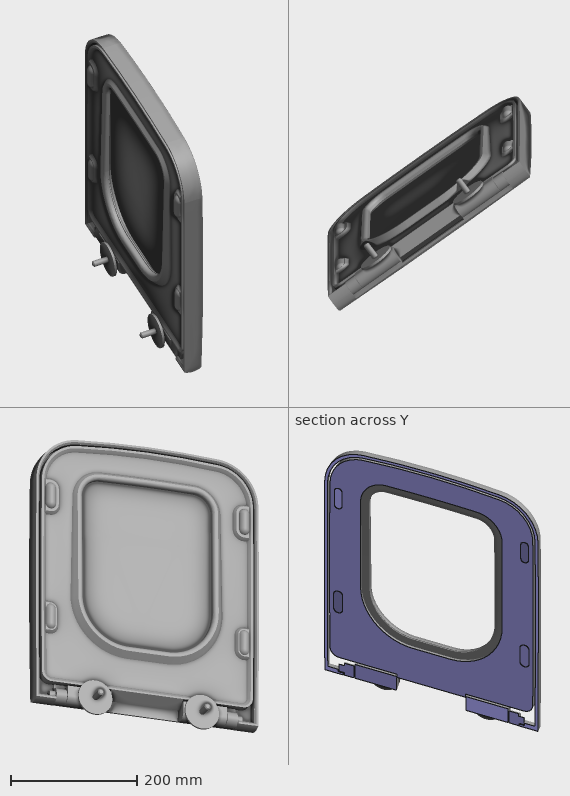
import cadquery as cq


OVERCUT = 4.5
BLANK_T = 4.5

TOP = 468.0
COVER_BOTTOM = 15.5
COVER_HALF_TOP = 187.2
COVER_HALF_MID = 188.5
COVER_HALF_BOTTOM = 187.5
BULGE_Z = 145.0
TOP_BOW = 11.2
CORNER_R = 74.0
COVER_BACK = 35.5
CROWN_R = 8894.5
COVER_CENTRE_Z = 242.0
BACK_ROUND = 3.5
WALL = 6.0
RIM_LAND = 3.5
RIM_TAPER = 45.0
FLOOR_T = 11.5
TAIL_WALL = 6.0
TAIL_BOTTOM = 19.0
TAIL_FRONT = 25.5
TAIL_COVE = 3.7
TAIL_LOW_Y = 16.0
TAIL_RIM_Z = 19.5
TAIL_BACK_Z = 24.5

SEAT_INSET = 9.5
SEAT_BOTTOM = 48.0
SEAT_BACK = 15.0
LIP_BACK = 6.0
LIP_INSET = 4.5
SEAT_CORNER_R = 16.5
TRAY_INSET = 13.0
TRAY_BOTTOM = 51.0
TRAY_DEPTH = 4.5
TRAY_TAPER = 50.0
TRAY_CORNER_R = 14.0
SKIRT_BACK = 19.5
SKIRT_DROP = 12.5
SKIRT_T = 9.5

BEAD_HALF = 128.5
BEAD_TOP = 421.5
BEAD_BOTTOM = 105.0
BEAD_BOW = 3.0
BEAD_TOP_R = 50.5
BEAD_BOTTOM_R = 96.0
BEAD_TAPER = 45.0
BEAD_RISE = 3.7
BEAD_TILT = 1.1
OPENING_INSET = 18.5
OPENING_ROUND = 5.0

BUMPER_R = 9.5
BUMPER_STRAIGHT = 26.0
BUMPER_X = 164.0
BUMPER_ROWS = [(363.3, -6.5, 18.0), (158.0, -5.0, 14.5)]
PAD_OUTER = 176.0
PAD_TAPER = 40.0
PAD_FRONT = -0.5

HINGE_X = 90.5
AXIS_Y = 12.5
AXIS_Z = 28.5
KNUCKLE_R = 12.5
KNUCKLE_TOP = 44.5
KNUCKLE_INNER = 61.0
KNUCKLE_OUTER = 135.0
EAR_INNER = 135.8
EAR_OUTER = 153.5
EAR_NECK = 7.5
STUB_D = 16.0
STUB_END = 163.0
CLEARANCE = 0.5
DISC_D = 57.0
DISC_BACK = -2.5
DISC_T = 3.7
PIN_D = 10.0
PIN_TIP = -32.0
PIN_CHAMFER = 2.0
COLLAR_D = 13.0


def plane_at(y):
    """Workplane at depth y with local axes X and Z; a positive extrusion runs toward -Y."""
    return cq.Workplane("XZ", origin=(0, y, 0))


def prism(sketch_points, x_from, x_to):
    """Solid with a (Y, Z) polygon as its section, running along X."""
    return cq.Workplane("YZ", origin=(x_from, 0, 0)).polyline(sketch_points).close().extrude(x_to - x_from)


def rod(radius, x_from, x_to):
    """Cylinder on the hinge axis."""
    section = cq.Workplane("YZ", origin=(x_from, 0, 0)).center(AXIS_Y, AXIS_Z).circle(radius)
    return section.extrude(x_to - x_from)


def box(x_range, y_range, z_range):
    """Box between a low and a high limit along each axis."""
    sizes = [high - low for low, high in (x_range, y_range, z_range)]
    return cq.Workplane().box(*sizes, centered=False).translate((x_range[0], y_range[0], z_range[0]))


def mirrored(body):
    return body.mirror("YZ")


def cover_wire(y, inset, bottom, bottom_radius=None):
    """Cover outline moved inward by inset, with its own bottom edge."""
    top = TOP - inset
    side_top = (COVER_HALF_TOP - inset, top - TOP_BOW)
    side_mid = (COVER_HALF_MID - inset, BULGE_Z)
    side_bottom = (COVER_HALF_BOTTOM - inset, bottom)
    blank = (
        plane_at(y)
        .moveTo(-side_bottom[0], bottom)
        .lineTo(*side_bottom)
        .threePointArc(side_mid, side_top)
        .threePointArc((0, top), (-side_top[0], side_top[1]))
        .threePointArc((-side_mid[0], BULGE_Z), (-side_bottom[0], bottom))
        .close()
        .extrude(BLANK_T)
        .edges("|Y").edges(">Z").fillet(CORNER_R - inset)
    )
    if bottom_radius:
        blank = blank.edges("|Y").edges("<Z").fillet(bottom_radius)
    return blank.faces(">Y").wires().vals()[0]


def extruded(wire, y, depth, taper=0):
    """Solid from a wire at depth y: a positive depth runs toward -Y."""
    return plane_at(y).add(wire).toPending().extrude(depth, taper=taper)


def crown(back):
    """Sphere whose rearmost point lies at Y = back."""
    return cq.Workplane().sphere(CROWN_R).translate((0, back - CROWN_R, COVER_CENTRE_Z))


def make_cover():
    """Crowned shell, open at the front, with a rounded tail cut away around the hinges."""
    blank = extruded(cover_wire(COVER_BACK, 0, COVER_BOTTOM), COVER_BACK, COVER_BACK)
    cover = blank.intersect(crown(COVER_BACK)).faces(">Y").edges().fillet(BACK_ROUND)
    cavity = extruded(cover_wire(COVER_BACK, WALL, TAIL_BOTTOM + TAIL_WALL), COVER_BACK, COVER_BACK + OVERCUT)
    cover = cover.cut(cavity.intersect(crown(COVER_BACK - FLOOR_T)))
    rim_bevel = extruded(cover_wire(0, RIM_LAND, TAIL_BOTTOM + RIM_LAND), 0, RIM_LAND - WALL, RIM_TAPER)
    cover = cover.cut(rim_bevel)
    below_tail = (
        cq.Workplane("YZ", origin=(-COVER_HALF_MID, 0, 0))
        .moveTo(0, TAIL_RIM_Z)
        .threePointArc((TAIL_LOW_Y, COVER_BOTTOM), (COVER_BACK, TAIL_BACK_Z))
        .lineTo(COVER_BACK, 0)
        .lineTo(0, 0)
        .close()
        .extrude(2 * COVER_HALF_MID)
    )
    notch = box((-EAR_OUTER, EAR_OUTER), (-OVERCUT, COVER_BACK), (0, TAIL_BOTTOM))
    cove = prism(
        [
            (-OVERCUT, 0),
            (TAIL_FRONT, 0),
            (TAIL_FRONT, TAIL_BOTTOM),
            (TAIL_FRONT + TAIL_COVE, SEAT_BOTTOM),
            (-OVERCUT, SEAT_BOTTOM),
        ],
        -KNUCKLE_INNER,
        KNUCKLE_INNER,
    )
    cover = cover.cut(below_tail).cut(notch).cut(cove)
    slot = make_hinge_slot()
    return cover.cut(slot).cut(mirrored(slot))


def make_hinge_slot():
    """Clearance in the cover for one hinge block, the seat ear beside it and the stub of the ear."""
    x_range = (KNUCKLE_INNER - CLEARANCE, EAR_OUTER + CLEARANCE)
    radius = KNUCKLE_R + CLEARANCE
    slot = rod(radius, *x_range)
    slot = slot.union(box(x_range, (-OVERCUT, AXIS_Y), (AXIS_Z - radius, KNUCKLE_TOP)))
    slot = slot.union(box(x_range, (AXIS_Y, AXIS_Y + radius), (AXIS_Z, KNUCKLE_TOP)))
    return slot.union(rod(STUB_D / 2 + CLEARANCE, EAR_OUTER, STUB_END + CLEARANCE))


def bead_outline(y):
    """Outer outline of the bead as a wire at depth y."""
    bow_ends = BEAD_TOP - BEAD_BOW
    blank = (
        plane_at(y)
        .moveTo(-BEAD_HALF, BEAD_BOTTOM)
        .lineTo(BEAD_HALF, BEAD_BOTTOM)
        .lineTo(BEAD_HALF, bow_ends)
        .threePointArc((0, BEAD_TOP), (-BEAD_HALF, bow_ends))
        .close()
        .extrude(BLANK_T)
        .edges("|Y").edges(">Z").fillet(BEAD_TOP_R)
        .edges("|Y").edges("<Z").fillet(BEAD_BOTTOM_R)
    )
    return blank.faces(">Y").wires().vals()[0]


def bumper_places():
    """Side, height, frontmost Y and pad radius of each bumper."""
    return [(side, *row) for row in BUMPER_ROWS for side in (-1, 1)]


def make_bumper(side, z, front):
    """Upright capsule, half buried in the seat."""
    half = BUMPER_STRAIGHT / 2
    capsule = cq.Workplane("XY").circle(BUMPER_R).extrude(BUMPER_STRAIGHT).translate((0, 0, -half))
    for end in (-half, half):
        capsule = capsule.union(cq.Workplane().sphere(BUMPER_R).translate((0, 0, end)))
    return capsule.translate((side * BUMPER_X, front + BUMPER_R, z))


def make_pad(side, z, radius):
    """Tapered seat boss around a bumper, square toward the rim and round toward the middle."""
    half = BUMPER_STRAIGHT / 2
    end = half + radius
    pad = (
        plane_at(TRAY_DEPTH)
        .moveTo(-PAD_OUTER, z - end)
        .lineTo(-BUMPER_X, z - end)
        .radiusArc((-BUMPER_X + radius, z - half), -radius)
        .lineTo(-BUMPER_X + radius, z + half)
        .radiusArc((-BUMPER_X, z + end), -radius)
        .lineTo(-PAD_OUTER, z + end)
        .close()
        .extrude(TRAY_DEPTH - PAD_FRONT, taper=PAD_TAPER)
    )
    return pad if side < 0 else mirrored(pad)


def make_ear():
    """Seat hinge ear: a barrel with a stub on its outer end and a neck up to the seat."""
    neck = box((EAR_INNER, EAR_OUTER), (AXIS_Y, SEAT_BACK), (AXIS_Z, SEAT_BOTTOM + EAR_NECK))
    return rod(KNUCKLE_R, EAR_INNER, EAR_OUTER).union(neck).union(rod(STUB_D / 2, EAR_OUTER, STUB_END))


def make_bead(opening):
    """Tilted bead with sloping outer sides and a rounded edge around the opening."""
    bead = extruded(bead_outline(LIP_BACK), LIP_BACK, LIP_BACK + BEAD_RISE, BEAD_TAPER)
    middle = (BEAD_TOP + BEAD_BOTTOM) / 2
    bead = bead.rotate((0, 0, middle), (1, 0, middle), -BEAD_TILT).cut(opening)
    inner_edge = bead.faces("<Y").val().innerWires()[0]
    return bead.newObject(inner_edge.Edges()).fillet(OPENING_ROUND)


def make_seat():
    """Thin seat plate with a shallow tray, the bead, the bumper pads and the hinge ears."""
    outline = cover_wire(SEAT_BACK, SEAT_INSET, SEAT_BOTTOM, SEAT_CORNER_R)
    seat = extruded(outline, SEAT_BACK, SEAT_BACK)
    skirt = prism(
        [
            (0, SEAT_BOTTOM),
            (SKIRT_BACK, SEAT_BOTTOM - SKIRT_DROP),
            (SKIRT_BACK, SEAT_BOTTOM + SKIRT_T),
            (TRAY_DEPTH + SKIRT_T, SEAT_BOTTOM + SKIRT_T),
        ],
        -KNUCKLE_INNER,
        KNUCKLE_INNER,
    )
    tray = extruded(cover_wire(0, TRAY_INSET, TRAY_BOTTOM, TRAY_CORNER_R), 0, -TRAY_DEPTH, TRAY_TAPER)
    seat = seat.union(skirt).cut(tray)

    opening_wire = bead_outline(SEAT_BACK).offset2D(-OPENING_INSET)[0]
    relief_wire = bead_outline(SEAT_BACK).offset2D(-LIP_INSET)[0]
    opening = extruded(opening_wire, SEAT_BACK, 2 * SEAT_BACK)
    relief = extruded(relief_wire, SEAT_BACK, SEAT_BACK - LIP_BACK)
    seat = seat.cut(opening).cut(relief).union(make_bead(opening))

    for side, z, front, pad_radius in bumper_places():
        seat = seat.union(make_pad(side, z, pad_radius)).cut(make_bumper(side, z, front))
    ear = make_ear()
    return seat.union(ear).union(mirrored(ear))


def make_hinge(side):
    """Hinge block with a round underside and a chamfered pin that points toward -Y."""
    block = rod(KNUCKLE_R, KNUCKLE_INNER, KNUCKLE_OUTER)
    block = block.union(
        box(
            (KNUCKLE_INNER, KNUCKLE_OUTER),
            (0, AXIS_Y + KNUCKLE_R),
            (AXIS_Z, KNUCKLE_TOP),
        )
    )
    collar = plane_at(AXIS_Y).center(HINGE_X, AXIS_Z).circle(COLLAR_D / 2).extrude(AXIS_Y - DISC_BACK)
    pin = plane_at(AXIS_Y).center(HINGE_X, AXIS_Z).circle(PIN_D / 2).extrude(AXIS_Y - PIN_TIP)
    pin = pin.faces("<Y").chamfer(PIN_CHAMFER)
    hinge = block.union(collar).union(pin)
    return hinge if side > 0 else mirrored(hinge)


def make_disc(side):
    """Cover disc with a hole for the hinge pin."""
    face = plane_at(DISC_BACK).center(side * HINGE_X, AXIS_Z)
    return face.circle(DISC_D / 2).circle(PIN_D / 2).extrude(DISC_T)


cover = make_cover()
seat = make_seat()
bumpers = [make_bumper(side, z, front).val() for side, z, front, _ in bumper_places()]
hinges = [make_hinge(side).val() for side in (-1, 1)]
discs = [make_disc(side).val() for side in (-1, 1)]

result = cq.Compound.makeCompound([cover.val(), seat.val(), *bumpers, *hinges, *discs])